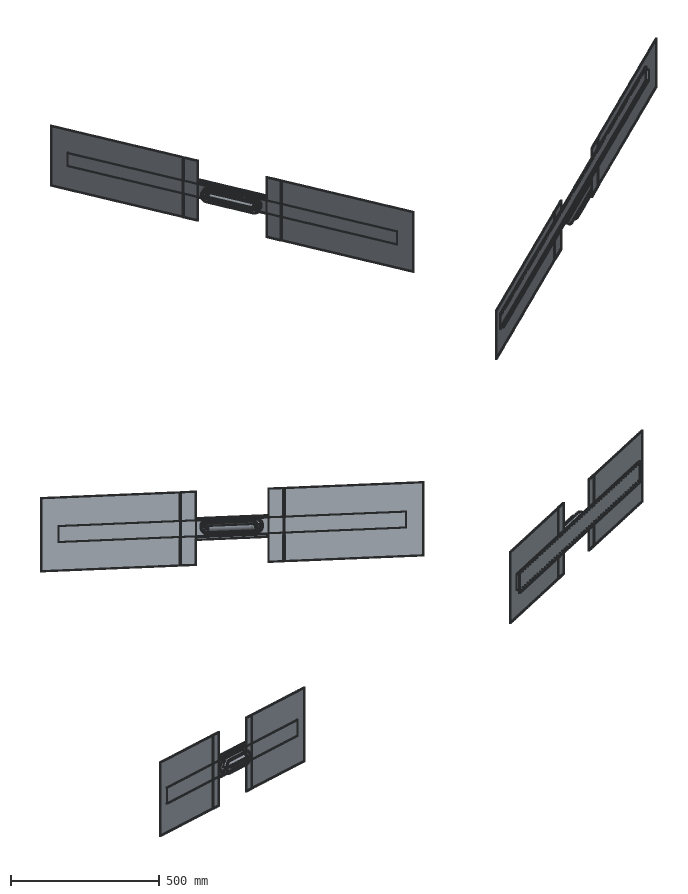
import cadquery as cq
import math

length = 1314.0
depth = 54.0
height = 254.0
back_y = depth / 2
front_y = -depth / 2

rail_length = 1195.0
flange_overhang = 1.0
flange_height = 75.0
flange_thickness = 3.2
hat_root_height = 58.0
hat_front_height = 55.0
rail_depth = 12.9
rail_front_y = back_y - rail_depth

panel_thickness = 0.9
strip_thickness = 2.0
opening_half_length = 125.0
strip_length = 51.0
panel_strip_gap = 4.0

housing_length = 212.0
housing_height = 47.0
housing_front_y = -9.0
rim_chamfer = 2.0
wall = 3.3
cup_floor_y = 5.9

barrel_radius = 17.0
barrel_half_length = 81.0
barrel_end_fillet = 8.0
barrel_y = 4.0
barrel_z = -3.0
pivot_radius = 5.0

flap_length = 179.0
flap_thickness = 4.0
flap_bend_radius = 92.0
flap_root_slope = math.radians(10.0)
flap_tip_slope = math.radians(26.0)
flap_corner_radius = 16.0
flap_tip_z = 5.9


def box_between(x_min, x_max, y_min, y_max, box_height):
    """Block centred on Z = 0 between the given X and Y limits."""
    block = cq.Workplane("XY").box(x_max - x_min, y_max - y_min, box_height)
    return block.translate(((x_min + x_max) / 2, (y_min + y_max) / 2, 0))


def make_rail():
    flange_half = rail_length / 2 + flange_overhang
    flange_front_y = back_y - flange_thickness
    flange = box_between(-flange_half, flange_half, flange_front_y, back_y, flange_height)
    hat = (
        cq.Workplane("YZ")
        .polyline([
            (flange_front_y, -hat_root_height / 2),
            (rail_front_y, -hat_front_height / 2),
            (rail_front_y, hat_front_height / 2),
            (flange_front_y, hat_root_height / 2),
        ])
        .close()
        .extrude(rail_length / 2, both=True)
    )
    return flange.union(hat)


def make_strip(side):
    """End strip beside the opening; side is -1 for left and 1 for right."""
    ends = sorted([side * opening_half_length, side * (opening_half_length + strip_length)])
    return box_between(*ends, rail_front_y - strip_thickness, rail_front_y, height)


def make_panel(side):
    """Thin panel that runs from the strip to the outer end of the assembly."""
    inner = opening_half_length + strip_length + panel_strip_gap
    ends = sorted([side * inner, side * length / 2])
    return box_between(*ends, rail_front_y - panel_thickness, rail_front_y, height)


def slot_block(slot_length, slot_height, y_from, y_to):
    """Slot-shaped block that runs forward from y_from to y_to."""
    return (
        cq.Workplane("XZ", origin=(0, y_from, 0))
        .slot2D(slot_length, slot_height)
        .extrude(y_from - y_to)
    )


def make_housing():
    outer = slot_block(housing_length, housing_height, rail_front_y, housing_front_y)
    outer = outer.faces("<Y").chamfer(rim_chamfer)
    cup = slot_block(housing_length - 2 * wall, housing_height - 2 * wall, cup_floor_y, housing_front_y)
    return outer.cut(cup)


def x_cylinder(radius, half_length):
    """Cylinder along X on the barrel axis."""
    return cq.Workplane("YZ", origin=(0, barrel_y, barrel_z)).circle(radius).extrude(half_length, both=True)


def make_barrel():
    barrel = x_cylinder(barrel_radius, barrel_half_length).edges().fillet(barrel_end_fillet)
    pivot = x_cylinder(pivot_radius, housing_length / 2 - wall)
    in_front_of_floor = box_between(
        -housing_length / 2, housing_length / 2, front_y, cup_floor_y, housing_height
    )
    return barrel.union(pivot).intersect(in_front_of_floor)


def make_flap():
    inner_radius = flap_bend_radius
    outer_radius = inner_radius + flap_thickness
    centre_y = front_y + outer_radius * math.sin(flap_tip_slope)
    centre_z = flap_tip_z + outer_radius * math.cos(flap_tip_slope)

    def bend_point(radius, slope):
        return centre_y - radius * math.sin(slope), centre_z - radius * math.cos(slope)

    middle_slope = (flap_root_slope + flap_tip_slope) / 2
    flap = (
        cq.Workplane("YZ")
        .moveTo(*bend_point(outer_radius, flap_root_slope))
        .threePointArc(bend_point(outer_radius, middle_slope), bend_point(outer_radius, flap_tip_slope))
        .lineTo(*bend_point(inner_radius, flap_tip_slope))
        .threePointArc(bend_point(inner_radius, middle_slope), bend_point(inner_radius, flap_root_slope))
        .close()
        .extrude(flap_length / 2, both=True)
    )
    tip_corners = cq.selectors.BoxSelector(
        (-length, front_y - flap_thickness, -height), (length, front_y + flap_thickness, height)
    )
    return flap.edges(tip_corners).edges("not |X").fillet(flap_corner_radius)


def make_lamp():
    return make_housing().union(make_barrel()).union(make_flap())


rail = make_rail()
lamp = make_lamp()
strips = [make_strip(side) for side in (-1, 1)]
panels = [make_panel(side) for side in (-1, 1)]

result = cq.Compound.makeCompound(
    [rail.val(), lamp.val(), *[strip.val() for strip in strips], *[panel.val() for panel in panels]]
)